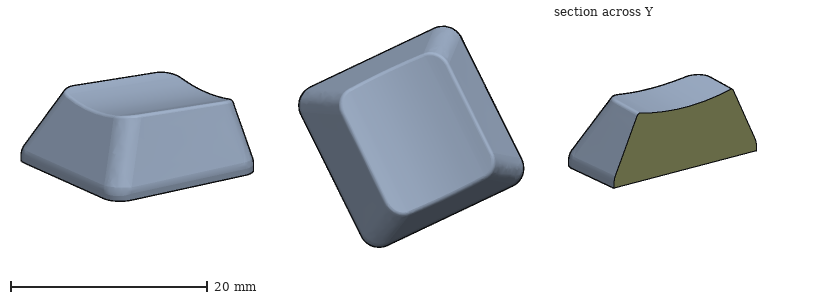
import cadquery as cq

base_width = 18.16
corner_radius = 2.0
skirt_height = 1.0
shoulder_blend = 1.5
height_tolerance = 0.01

top_tilt = 3.1
top_height = 8.0
top_half_width = 5.8
top_front = -5.36
top_back = 8.42

dish_radius = 25.0
dish_floor_height = 6.8
dish_length = 2 * base_width
rim_blend = 0.4


def rounded_section(front, back, half_width):
    """Rounded rectangle on the XY plane, reaching from front to back along Y."""
    return (
        cq.Sketch()
        .push([(0, (front + back) / 2)])
        .rect(2 * half_width, back - front)
        .reset()
        .vertices()
        .fillet(corner_radius)
    )


def tapered_body():
    """Upright skirt with the sloping walls above it."""
    half_base = base_width / 2
    base = rounded_section(-half_base, half_base, half_base)
    shoulder = base.moved(cq.Location((0, 0, skirt_height)))
    top = rounded_section(top_front, top_back, top_half_width)
    top = top.moved(cq.Location((0, 0, top_height), (1, 0, 0), -top_tilt))
    skirt = cq.Workplane("XY").placeSketch(base).extrude(skirt_height)
    walls = cq.Workplane("XY").placeSketch(shoulder, top).loft(ruled=True)
    return skirt.union(walls)


def blend_shoulder(body):
    """Round the bend between the upright skirt and the sloping walls."""
    bend = body.edges().filter(lambda edge: abs(edge.Center().z - skirt_height) < height_tolerance)
    return bend.fillet(shoulder_blend)


def cut_dish(body):
    """Hollow the top with the tilted cylinder."""
    cutter = (
        cq.Workplane("XZ")
        .center(0, dish_radius)
        .circle(dish_radius)
        .extrude(dish_length / 2, both=True)
        .rotate((0, 0, 0), (1, 0, 0), -top_tilt)
        .translate((0, 0, dish_floor_height))
    )
    return body.cut(cutter)


def blend_rim(body):
    """Round the edge between the dish and the sloping walls."""
    return body.faces(">Z").edges().fillet(rim_blend)


body = tapered_body()
body = blend_shoulder(body)
body = cut_dish(body)
result = blend_rim(body)